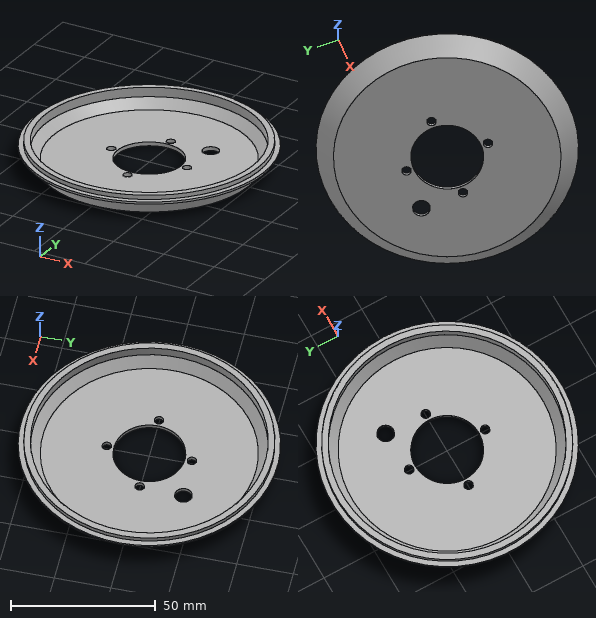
import cadquery as cq
import math

height = 8.5
flange_radius = 45.3
rim_radius = 86.6 / 2
rim_height = 1.6
flange_thickness = 0.8
flange_top = height - rim_height
flange_bottom = flange_top - flange_thickness
base_radius = flange_radius - flange_bottom

mouth_radius = 82.0 / 2
floor_radius = 37.6
floor_thickness = 1.5
cone_top = floor_thickness + mouth_radius - floor_radius

bore_diameter = 25.0
screw_hole_diameter = 3.2
screw_hole_count = 4
screw_circle_radius = 15.0
side_hole_diameter = 6.0
side_hole_radius = 22.0
side_hole_angle = 45.0


def make_dish():
    """Revolve the conical wall, flange, rim and flat floor about Z."""
    half_section = (
        cq.Workplane("XZ")
        .polyline([
            (0, 0),
            (base_radius, 0),
            (flange_radius, flange_bottom),
            (flange_radius, flange_top),
            (rim_radius, flange_top),
            (rim_radius, height),
            (mouth_radius, height),
            (mouth_radius, cone_top),
            (floor_radius, floor_thickness),
            (0, floor_thickness),
        ])
        .close()
    )
    return half_section.revolve(360, (0, 0, 0), (0, 1, 0))


def hole_cutter(diameter, radius=0.0, angle=0.0):
    """Full-height cylinder at a polar position about Z."""
    x = radius * math.cos(math.radians(angle))
    y = radius * math.sin(math.radians(angle))
    return cq.Workplane("XY").center(x, y).circle(diameter / 2).extrude(height)


result = make_dish()
result = result.cut(hole_cutter(bore_diameter))
result = result.cut(hole_cutter(side_hole_diameter, side_hole_radius, side_hole_angle))
for index in range(screw_hole_count):
    screw_angle = index * 360 / screw_hole_count
    result = result.cut(hole_cutter(screw_hole_diameter, screw_circle_radius, screw_angle))